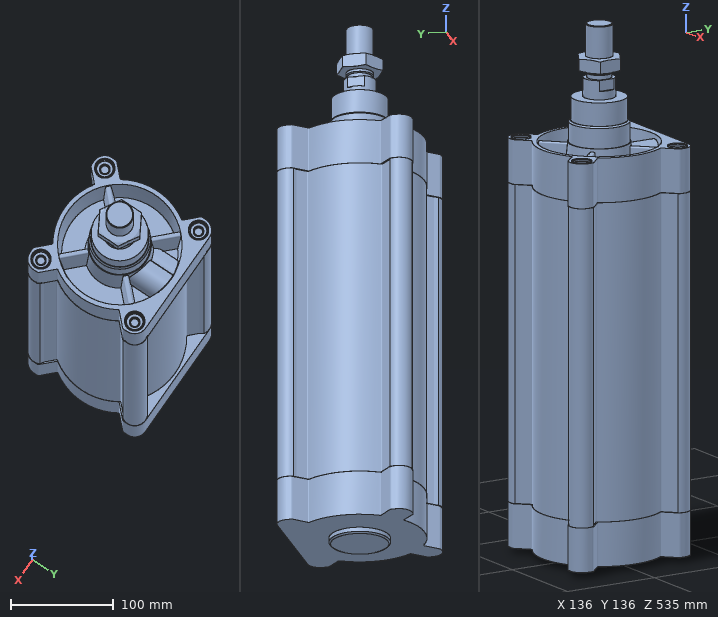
import cadquery as cq
import math


total_height = 535.0
pilot_height = 6.0
cap_height = 45.0
barrel_length = 320.5
neck_height = 22.0
rod_exposed = 73.5
thread_length = 54.0
nut_height = 13.5
nut_top_gap = 32.5

barrel_bottom_z = pilot_height + cap_height
barrel_top_z = barrel_bottom_z + barrel_length
head_top_z = barrel_top_z + cap_height
neck_top_z = head_top_z + neck_height
collar_top_z = total_height - rod_exposed
shoulder_z = total_height - thread_length
nut_bottom_z = total_height - nut_top_gap - nut_height

square_side = 136.0
half_side = square_side / 2
cap_diameter = 130.5
screw_offset = 55.0
lug_radius = half_side - screw_offset
lug_corner_radius = 3.0
lug_root_radius = 1.0
barrel_setback = 0.15
barrel_neck_half_width = 11.0
lip_outer_gap = 3.0
lip_inner_gap = 1.0
lug_angles = (45, 135, 225, 315)

recess_diameter = 121.0
recess_depth = 37.5
recess_draft = 6.0
hub_diameter = 61.5
hub_draft = 5.3
rib_width = 5.5
rib_drop = 3.0
rib_draft = 4.4
rib_top_radius = 1.5
port_diameter = 30.5
port_positions = ((7.5, 20.0), (-10.0, 35.0))

pilot_diameter = 60.0
pilot_chamfer = 1.5
collar_tip_diameter = 55.5
screw_hole_steps = ((20.0, 1.0), (18.0, 2.5), (16.0, 4.5), (10.0, 6.5), (8.0, 7.5))

rod_diameter = 32.0
thread_diameter = 27.0
thread_tip_diameter = 25.0
undercut_diameter = 24.5
undercut_height = 4.5
flat_width = 27.5
flat_height = 10.5
nut_width = 40.5
nut_face_diameter = 40.0
nut_bevel_height = 0.8


def plane_at(z):
    return cq.Workplane("XY").workplane(offset=z)


def disc(diameter, bottom, top):
    return plane_at(bottom).circle(diameter / 2).extrude(top - bottom)


def turned(solid, angle):
    return solid.rotate((0, 0, 0), (0, 0, 1), angle)


def base_growth(height, draft):
    """Extra width at the foot of a drafted wall, both sides together."""
    return 2 * height * math.tan(math.radians(draft))


def cap_lug(bottom):
    """Diagonal arm towards +X +Y: rounded tip, short square flanks, 45 degree sides."""
    side_shift = lug_radius * math.sqrt(2)
    corner = half_side - side_shift
    tip = screw_offset + lug_radius * math.sqrt(0.5)
    arm = (
        plane_at(bottom)
        .lineTo(0, side_shift)
        .lineTo(corner, half_side)
        .lineTo(screw_offset, half_side)
        .threePointArc((tip, tip), (half_side, screw_offset))
        .lineTo(half_side, corner)
        .lineTo(side_shift, 0)
        .close()
        .extrude(cap_height)
    )
    mid_z = bottom + cap_height / 2
    for x, y in ((corner, half_side), (half_side, corner)):
        arm = arm.edges(cq.NearestToPointSelector((x, y, mid_z))).fillet(lug_corner_radius)
    return arm


def barrel_lug():
    """Diagonal arm towards +X +Y: rounded tip with a lip that narrows to a straight neck."""
    reach = screw_offset * math.sqrt(2)
    tip_radius = lug_radius - barrel_setback
    lip_half_width = math.sqrt(tip_radius ** 2 - lip_outer_gap ** 2)
    arm = (
        plane_at(barrel_bottom_z)
        .moveTo(0, -barrel_neck_half_width)
        .lineTo(reach - lip_inner_gap, -barrel_neck_half_width)
        .lineTo(reach + lip_outer_gap, -lip_half_width)
        .threePointArc((reach + tip_radius, 0), (reach + lip_outer_gap, lip_half_width))
        .lineTo(reach - lip_inner_gap, barrel_neck_half_width)
        .lineTo(0, barrel_neck_half_width)
        .close()
        .extrude(barrel_length)
    )
    return turned(arm, 45)


def lugged_body(core, lug, core_diameter, half_width):
    """Round core with a lug on each diagonal and a fillet at both roots of every lug."""
    body = core
    for angle in lug_angles:
        body = body.union(turned(lug, angle - 45))
    core_radius = core_diameter / 2
    mid_z = core.val().Center().z
    root_angle = math.degrees(math.asin(half_width / core_radius))
    for lug_angle in lug_angles:
        for angle in (lug_angle - root_angle, lug_angle + root_angle):
            x = core_radius * math.cos(math.radians(angle))
            y = core_radius * math.sin(math.radians(angle))
            body = body.edges(cq.NearestToPointSelector((x, y, mid_z))).fillet(lug_root_radius)
    return body


def cap(bottom):
    """End cap with a flat +Y side between its two upper lugs."""
    core = disc(cap_diameter, bottom, bottom + cap_height)
    body = lugged_body(core, cap_lug(bottom), cap_diameter, lug_radius)
    flat_side = (
        plane_at(bottom)
        .moveTo(0, 0)
        .lineTo(screw_offset, screw_offset)
        .lineTo(screw_offset, half_side)
        .lineTo(-screw_offset, half_side)
        .lineTo(-screw_offset, screw_offset)
        .close()
        .extrude(cap_height)
    )
    return body.union(flat_side)


def barrel():
    diameter = cap_diameter - 2 * barrel_setback
    core = disc(diameter, barrel_bottom_z, barrel_top_z)
    return lugged_body(core, barrel_lug(), diameter, barrel_neck_half_width)


def head_recess():
    """Drafted annular pocket around the hub, crossed by four ribs and two port bosses."""
    floor_z = head_top_z - recess_depth
    pocket = plane_at(head_top_z).circle(recess_diameter / 2).extrude(-recess_depth, taper=recess_draft)

    hub_foot = hub_diameter + base_growth(recess_depth, hub_draft)
    pocket = pocket.cut(plane_at(floor_z).circle(hub_foot / 2).extrude(recess_depth, taper=hub_draft))

    rib_height = recess_depth - rib_drop
    rib_foot = rib_width + base_growth(rib_height, rib_draft)
    rib_pair = plane_at(floor_z).rect(2 * square_side, rib_foot).extrude(rib_height, taper=rib_draft)
    rib_pair = rib_pair.faces(">Z").edges("|X").fillet(rib_top_radius)
    for angle in (45, 135):
        pocket = pocket.cut(turned(rib_pair, angle))

    for x, depth in port_positions:
        boss = (
            cq.Workplane("XZ")
            .center(x, head_top_z - depth)
            .circle(port_diameter / 2)
            .extrude(-half_side)
        )
        pocket = pocket.cut(boss)
    return pocket


def screw_hole():
    """Stepped recess with the screw head and its socket at the bottom."""
    hole = disc(screw_hole_steps[0][0], head_top_z - screw_hole_steps[0][1], head_top_z)
    for diameter, depth in screw_hole_steps[1:]:
        hole = hole.union(disc(diameter, head_top_z - depth, head_top_z))
    return hole


def make_housing():
    body = barrel().union(cap(pilot_height)).union(cap(barrel_top_z))
    body = body.cut(head_recess())
    body = body.union(disc(pilot_diameter, 0, barrel_bottom_z).faces("<Z").chamfer(pilot_chamfer))
    body = body.union(disc(pilot_diameter, barrel_top_z, neck_top_z).faces(">Z").chamfer(pilot_chamfer))
    body = body.union(disc(collar_tip_diameter, barrel_top_z, collar_top_z))
    for x in (-screw_offset, screw_offset):
        for y in (-screw_offset, screw_offset):
            body = body.cut(screw_hole().translate((x, y, 0)))
    return body.cut(disc(rod_diameter, barrel_top_z, collar_top_z))


def make_rod():
    flat_bottom_z = shoulder_z - flat_height
    undercut_top_z = shoulder_z + undercut_height
    undercut_depth = (thread_diameter - undercut_diameter) / 2
    taper_top_z = undercut_top_z + undercut_depth

    shank = disc(rod_diameter, barrel_top_z, flat_bottom_z)
    flats = plane_at(flat_bottom_z).rect(flat_width, rod_diameter).extrude(flat_height)
    flatted_end = disc(rod_diameter, flat_bottom_z, shoulder_z).intersect(flats)
    undercut = disc(undercut_diameter, shoulder_z, undercut_top_z)
    taper = plane_at(undercut_top_z).circle(undercut_diameter / 2).extrude(undercut_depth, taper=-45)
    tip_chamfer = (thread_diameter - thread_tip_diameter) / 2
    thread = disc(thread_diameter, taper_top_z, total_height).faces(">Z").chamfer(tip_chamfer)
    return shank.union(flatted_end).union(undercut).union(taper).union(thread)


def make_nut():
    """Hexagon nut with two corners on the Y axis, its corners bevelled on both faces."""
    nut_top_z = nut_bottom_z + nut_height
    corner_diameter = nut_width / math.cos(math.radians(30))
    bevel_width = (corner_diameter - nut_face_diameter) / 2
    blank = plane_at(nut_bottom_z).polygon(6, corner_diameter).extrude(nut_height)
    bevelled_disc = (
        disc(corner_diameter, nut_bottom_z, nut_top_z)
        .faces("<Z").chamfer(nut_bevel_height, bevel_width)
        .faces(">Z").chamfer(nut_bevel_height, bevel_width)
    )
    bore = disc(thread_diameter, nut_bottom_z, nut_top_z)
    return turned(blank, 30).intersect(bevelled_disc).cut(bore)


housing = make_housing()
rod = make_rod()
nut = make_nut()
result = cq.Compound.makeCompound([housing.val(), rod.val(), nut.val()])